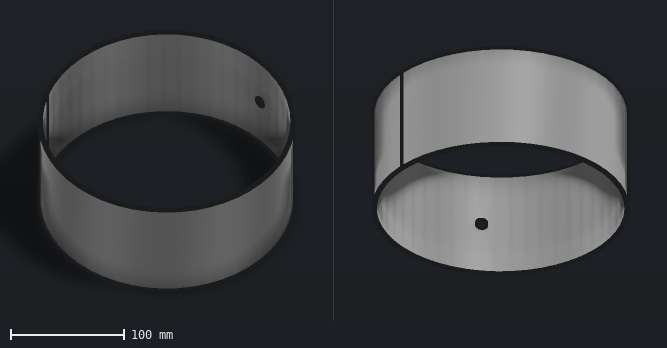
import cadquery as cq

outer_diameter = 225.0
height = 100.0
wall = 2.5
outer_bevel_width = 0.7
outer_bevel_height = 1.5
inner_chamfer = 1.0
slit_angle = 1.0
hole_diameter = 10.0
hole_angle = 59.1

outer_radius = outer_diameter / 2
inner_radius = outer_radius - wall


def make_sleeve():
    """Thin band swept around Z from -X, stopping short of a full turn, with bevelled rims."""
    wall_section = [
        (-outer_radius, outer_bevel_height),
        (-outer_radius + outer_bevel_width, 0),
        (-inner_radius - inner_chamfer, 0),
        (-inner_radius, inner_chamfer),
        (-inner_radius, height - inner_chamfer),
        (-inner_radius - inner_chamfer, height),
        (-outer_radius + outer_bevel_width, height),
        (-outer_radius, height - outer_bevel_height),
    ]
    profile = cq.Workplane("XZ").polyline(wall_section).close()
    return profile.revolve(360 - slit_angle, (0, 0, 0), (0, 1, 0))


def make_radial_hole():
    """Cutter for the single round hole through the wall at mid height."""
    cutter = cq.Workplane("YZ").center(0, height / 2).circle(hole_diameter / 2).extrude(outer_diameter)
    return cutter.rotate((0, 0, 0), (0, 0, 1), hole_angle)


result = make_sleeve().cut(make_radial_hole())